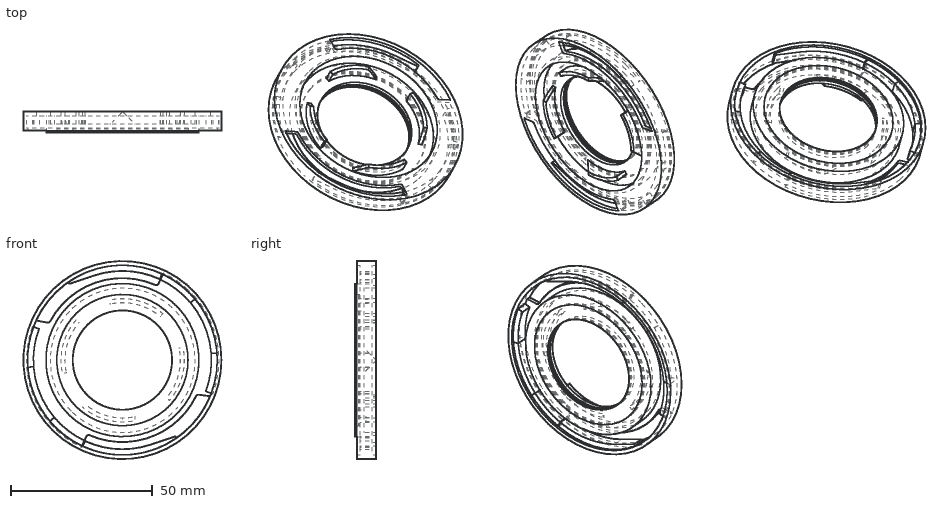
import cadquery as cq
import math


RIM_RADIUS = 35.0
RIM_INNER_RADIUS = 67.0 / 2
RIM_DEPTH = 6.8
PLATE_THICKNESS = 1.5

TOTAL_DEPTH = 7.5
CUP_RADIUS = 27.0
CUP_WALL = 1.5
BORE_RADIUS = 17.5

INLAY_RADIUS = 23.2
INLAY_THICKNESSES = [0.5, 0.6, 0.5]
CUP_FLOOR_FRONT = TOTAL_DEPTH - sum(INLAY_THICKNESSES)
CUP_FLOOR_BACK = CUP_FLOOR_FRONT - PLATE_THICKNESS

HALF_TURNS = [0, 180]
LEDGE_RADIUS = 31.4
LEDGE_OUTER_RADIUS = 68.0 / 2
LEDGE_FRONT = RIM_DEPTH - 1.0
SLOT_START = 64.8
SEGMENT_JOINTS = [-20.5, 4.3, 40.1, SLOT_START]
SEGMENT_SPANS = list(zip(SEGMENT_JOINTS[:-1], SEGMENT_JOINTS[1:]))

ARM_TAPER_START = 108.5
ARM_END = 124.9
ARM_TIP_RADIUS = 32.75
SLIT_WIDTH = 0.2
SLOT_INNER_RADIUS = 29.0
SLOT_ENDS = [153.0, 155.2]
SLOT_END_LEAN = 2.3
SLOT_CORNER_RADIUS = 0.85

TAB_COUNT = 4
TAB_INNER_RADIUS = 20.4
TAB_THICKNESS = 1.4
TAB_START = -40.7
TAB_END = 0.0


def polar(radius, angle):
    """Point in the XZ plane at a radius and an angle in degrees."""
    return (radius * math.cos(math.radians(angle)), radius * math.sin(math.radians(angle)))


def extrude_between(sketch, back, front):
    """Extrude an XZ sketch from one depth to another, measured from the back towards -Y."""
    return sketch.extrude(front - back).translate((0, -back, 0))


def disc(radius, back, front):
    return extrude_between(cq.Workplane("XZ").circle(radius), back, front)


def ring(outer, inner, back, front):
    return extrude_between(cq.Workplane("XZ").circle(outer).circle(inner), back, front)


def turned(body, angle):
    """Turn a body about the part's axis, from +X towards +Z."""
    return body.rotate((0, 0, 0), (0, -1, 0), angle)


def sector(outer, inner, start, end, back, front):
    """Part of a ring between two angles."""
    middle = (start + end) / 2
    sketch = (
        cq.Workplane("XZ")
        .moveTo(*polar(inner, start))
        .lineTo(*polar(outer, start))
        .threePointArc(polar(outer, middle), polar(outer, end))
        .lineTo(*polar(inner, end))
        .threePointArc(polar(inner, middle), polar(inner, start))
        .close()
    )
    return extrude_between(sketch, back, front)


def rim_and_cup():
    rim = ring(RIM_RADIUS, RIM_INNER_RADIUS, 0, RIM_DEPTH)
    plate = disc(RIM_INNER_RADIUS, 0, PLATE_THICKNESS)
    cup = disc(CUP_RADIUS, 0, TOTAL_DEPTH)
    cavity = disc(CUP_RADIUS - CUP_WALL, 0, CUP_FLOOR_BACK)
    inlay_recess = disc(INLAY_RADIUS, CUP_FLOOR_FRONT, TOTAL_DEPTH)
    bore = disc(BORE_RADIUS, 0, TOTAL_DEPTH)
    return rim.union(plate).union(cup).cut(cavity).cut(inlay_recess).cut(bore)


def slot(inner_end):
    """Curved opening through the plate, closed on the outside by the rim."""
    outer_end = inner_end + SLOT_END_LEAN
    middle = (SLOT_START + inner_end) / 2
    sketch = (
        cq.Workplane("XZ")
        .moveTo(*polar(SLOT_INNER_RADIUS, SLOT_START))
        .lineTo(*polar(RIM_INNER_RADIUS, SLOT_START))
        .threePointArc(polar(RIM_INNER_RADIUS, middle), polar(RIM_INNER_RADIUS, outer_end))
        .lineTo(*polar(SLOT_INNER_RADIUS, inner_end))
        .threePointArc(polar(SLOT_INNER_RADIUS, middle), polar(SLOT_INNER_RADIUS, SLOT_START))
        .close()
    )
    inner_corners = cq.selectors.BoxSelector(
        (-SLOT_INNER_RADIUS, -TOTAL_DEPTH, 0), (SLOT_INNER_RADIUS, TOTAL_DEPTH, SLOT_INNER_RADIUS)
    )
    opening = extrude_between(sketch, 0, PLATE_THICKNESS)
    return opening.edges("|Y").edges(inner_corners).fillet(SLOT_CORNER_RADIUS)


def segment(start, end):
    """Ledge segment between two joints, standing on the plate."""
    return sector(LEDGE_OUTER_RADIUS, LEDGE_RADIUS, start, end, PLATE_THICKNESS, LEDGE_FRONT)


def arm():
    """Continuation of the ledge line over the slot, ending in a straight taper."""
    slit_angle = math.degrees(SLIT_WIDTH / RIM_INNER_RADIUS)
    start = SLOT_START + slit_angle
    sketch = (
        cq.Workplane("XZ")
        .moveTo(*polar(LEDGE_RADIUS, start))
        .lineTo(*polar(RIM_INNER_RADIUS, start))
        .threePointArc(polar(RIM_INNER_RADIUS, (start + ARM_END) / 2), polar(RIM_INNER_RADIUS, ARM_END))
        .lineTo(*polar(ARM_TIP_RADIUS, ARM_END))
        .lineTo(*polar(LEDGE_RADIUS, ARM_TAPER_START))
        .threePointArc(polar(LEDGE_RADIUS, (start + ARM_TAPER_START) / 2), polar(LEDGE_RADIUS, start))
        .close()
    )
    return extrude_between(sketch, PLATE_THICKNESS, LEDGE_FRONT)


def tab():
    """Curved tab standing back from the cup floor, with one end sloped at 45 degrees."""
    outer = TAB_INNER_RADIUS + TAB_THICKNESS
    slope_end = TAB_END + math.degrees(CUP_FLOOR_BACK / TAB_INNER_RADIUS)
    blank = sector(outer, TAB_INNER_RADIUS, TAB_START, slope_end, 0, CUP_FLOOR_BACK)
    past_end = 2 * CUP_FLOOR_BACK
    slope_cut = (
        cq.Workplane("YZ")
        .moveTo(0, 0)
        .lineTo(-past_end, past_end)
        .lineTo(0, past_end)
        .close()
        .extrude(RIM_RADIUS)
    )
    return blank.cut(turned(slope_cut, TAB_END))


def make_lid():
    lid = rim_and_cup()
    for angle, slot_end in zip(HALF_TURNS, SLOT_ENDS):
        lid = lid.cut(turned(slot(slot_end), angle))
        lid = lid.union(turned(arm(), angle))
        for start, end in SEGMENT_SPANS:
            lid = lid.cut(turned(segment(start, end), angle))
    for number in range(TAB_COUNT):
        lid = lid.union(turned(tab(), number * 360 / TAB_COUNT))
    return lid.solids()


def make_inlay_rings():
    """Equal-diameter rings stacked in the recess of the cup."""
    rings = []
    back = CUP_FLOOR_FRONT
    for thickness in INLAY_THICKNESSES:
        rings.append(ring(INLAY_RADIUS, BORE_RADIUS, back, back + thickness))
        back += thickness
    return rings


def make_segments():
    """Ledge segments on both sides, each filling its seat in the rim."""
    return [turned(segment(start, end), angle) for angle in HALF_TURNS for start, end in SEGMENT_SPANS]


lid = make_lid()
inlay_rings = make_inlay_rings()
ledge_segments = make_segments()

result = cq.Compound.makeCompound(
    [lid.val(), *[inlay.val() for inlay in inlay_rings], *[piece.val() for piece in ledge_segments]]
)